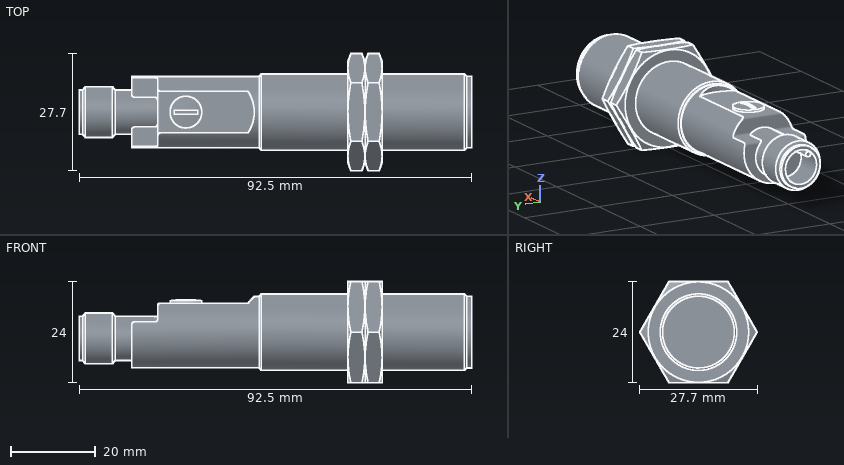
import cadquery as cq
import math

LENGTH = 92.5

BARREL_DIA = 18.0
BARREL_START = 42.5
BARREL_CHAMFER = 0.5
NOSE_DIA = 16.9
NOSE_LENGTH = 1.2

BODY_DIA = 16.8
BODY_START = 12.4
LEDGE_END = 18.5
LEDGE_HEIGHT = 2.4
FLAT_HEIGHT = 6.8
FLAT_SIDE_END = 39.8
FLAT_BULGE = 1.5
STEP_FILLET = 0.65

CONNECTOR_DROP = 1.5
CONNECTOR_DIA = 12.0
NECK_DIA = 10.45
TIP_LENGTH = 0.8
CONNECTOR_END = 8.5
CONNECTOR_CHAMFER = 0.65
BORE_DIA = 8.4
BORE_DEPTH = 7.4
KEY_DIA = 1.3
KEY_ANGLE = 47.0

SCREW_X = 25.2
SCREW_DIA = 7.5
SCREW_RIM_HEIGHT = 0.6
SCREW_CROWN_HEIGHT = 0.8
SLOT_LENGTH = 5.55
SLOT_WIDTH = 0.9
SLOT_DEPTH = 0.5

NUT_COUNT = 2
NUT_START = 63.3
NUT_THICKNESS = 4.1
NUT_ACROSS_FLATS = 24.0
NUT_FACE_DIA = 23.7
NUT_CHAMFER_ANGLE = 20.0


def revolve_about_x(profile):
    """Revolve an (x, radius) profile about the main axis."""
    return cq.Workplane("XY").polyline(profile).close().revolve(360, (0, 0, 0), (1, 0, 0))


def cylinder_along_x(diameter, start, end):
    return cq.Workplane("YZ", origin=(start, 0, 0)).circle(diameter / 2).extrude(end - start)


def make_barrel():
    radius = BARREL_DIA / 2
    nose_radius = NOSE_DIA / 2
    nose_start = LENGTH - NOSE_LENGTH
    return revolve_about_x([
        (BARREL_START, 0),
        (BARREL_START, radius - BARREL_CHAMFER),
        (BARREL_START + BARREL_CHAMFER, radius),
        (nose_start - (radius - nose_radius), radius),
        (nose_start, nose_radius),
        (LENGTH, nose_radius),
        (LENGTH, 0),
    ])


def make_rear_body():
    """Round bar cut to the stepped side outline; the top flat stops at an upright curved wall."""
    radius = BODY_DIA / 2
    flat_half_width = math.sqrt(radius**2 - FLAT_HEIGHT**2)
    outline = (
        cq.Workplane("XZ")
        .polyline([
            (BODY_START, -radius),
            (BODY_START, LEDGE_HEIGHT),
            (LEDGE_END, LEDGE_HEIGHT),
            (LEDGE_END, FLAT_HEIGHT),
            (BARREL_START, FLAT_HEIGHT),
            (BARREL_START, -radius),
        ])
        .close()
        .extrude(radius, both=True)
    )
    for x, z in [(BODY_START, LEDGE_HEIGHT), (LEDGE_END, LEDGE_HEIGHT), (LEDGE_END, FLAT_HEIGHT)]:
        outline = outline.edges(cq.NearestToPointSelector((x, 0, z))).fillet(STEP_FILLET)
    uncut_end = (
        cq.Workplane("XY", origin=(0, 0, FLAT_HEIGHT))
        .moveTo(FLAT_SIDE_END, -flat_half_width)
        .threePointArc((FLAT_SIDE_END + FLAT_BULGE, 0), (FLAT_SIDE_END, flat_half_width))
        .lineTo(BARREL_START, flat_half_width)
        .lineTo(BARREL_START, -flat_half_width)
        .close()
        .extrude(radius - FLAT_HEIGHT)
    )
    return cylinder_along_x(BODY_DIA, BODY_START, BARREL_START).intersect(outline.union(uncut_end))


def make_connector():
    radius = CONNECTOR_DIA / 2
    neck_radius = NECK_DIA / 2
    shell = revolve_about_x([
        (0, 0),
        (0, neck_radius),
        (TIP_LENGTH, neck_radius),
        (TIP_LENGTH + CONNECTOR_CHAMFER, radius),
        (CONNECTOR_END - CONNECTOR_CHAMFER, radius),
        (CONNECTOR_END, neck_radius),
        (LEDGE_END + STEP_FILLET, neck_radius),
        (LEDGE_END + STEP_FILLET, 0),
    ])
    return shell.translate((0, 0, -CONNECTOR_DROP))


def make_bore():
    """Connector socket, less the round key left standing along its wall."""
    bore = cylinder_along_x(BORE_DIA, 0, BORE_DEPTH)
    key_offset = (BORE_DIA - KEY_DIA) / 2
    angle = math.radians(KEY_ANGLE)
    key = cylinder_along_x(KEY_DIA, TIP_LENGTH, BORE_DEPTH).translate(
        (0, -key_offset * math.cos(angle), key_offset * math.sin(angle))
    )
    return bore.cut(key).translate((0, 0, -CONNECTOR_DROP))


def make_screw_head():
    """Slotted head: a low cylindrical rim below a domed crown."""
    rim_radius = SCREW_DIA / 2
    crown_rise = SCREW_CROWN_HEIGHT - SCREW_RIM_HEIGHT
    dome_radius = (rim_radius**2 + crown_rise**2) / (2 * crown_rise)
    dome = cq.Workplane("XY", origin=(0, 0, SCREW_CROWN_HEIGHT - dome_radius)).sphere(dome_radius)
    head = cq.Workplane("XY").circle(rim_radius).extrude(SCREW_CROWN_HEIGHT).intersect(dome)
    slot = (
        cq.Workplane("XY", origin=(0, 0, SCREW_CROWN_HEIGHT))
        .rect(SLOT_LENGTH, SLOT_WIDTH)
        .extrude(-SLOT_DEPTH)
    )
    return head.cut(slot).translate((SCREW_X, 0, FLAT_HEIGHT))


def make_housing():
    housing = make_barrel().union(make_rear_body()).union(make_connector()).union(make_screw_head())
    return housing.cut(make_bore())


def make_nut(start):
    """Hexagon nut with flats at top and bottom, chamfered on both faces."""
    corner_dia = NUT_ACROSS_FLATS / math.cos(math.pi / 6)
    corner_radius = corner_dia / 2
    face_radius = NUT_FACE_DIA / 2
    setback = (corner_radius - face_radius) * math.tan(math.radians(NUT_CHAMFER_ANGLE))
    hexagon = cq.Workplane("YZ").polygon(6, corner_dia).extrude(NUT_THICKNESS)
    chamfer_envelope = revolve_about_x([
        (0, 0),
        (0, face_radius),
        (setback, corner_radius),
        (NUT_THICKNESS - setback, corner_radius),
        (NUT_THICKNESS, face_radius),
        (NUT_THICKNESS, 0),
    ])
    hole = cylinder_along_x(BARREL_DIA, 0, NUT_THICKNESS)
    return hexagon.intersect(chamfer_envelope).cut(hole).translate((start, 0, 0))


housing = make_housing()
nuts = [make_nut(NUT_START + index * NUT_THICKNESS) for index in range(NUT_COUNT)]

result = cq.Compound.makeCompound([housing.val(), *[nut.val() for nut in nuts]])